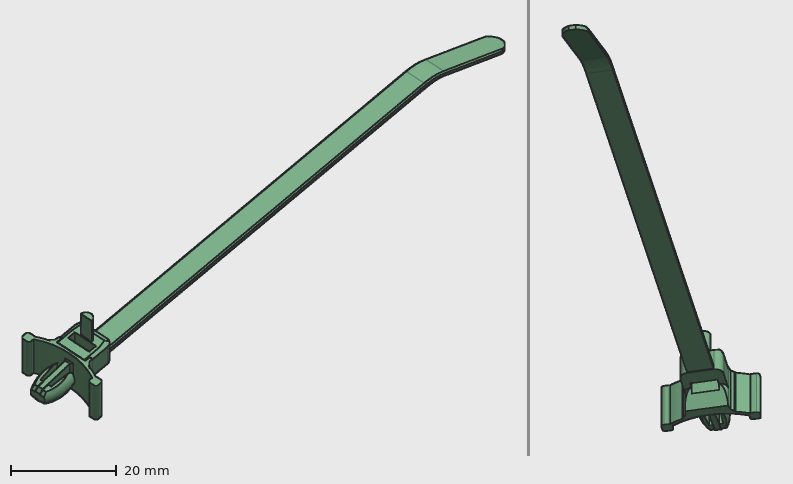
import cadquery as cq
import math


strap_half_width = 5.2 / 2
strap_bottom = -0.1
strap_thickness = 1.2
tail_thickness = 0.99
strap_edge_chamfer = 0.33
strap_end = 132.1
bend_start = 107.5
bend_length = 5.5
bend_angle = math.radians(24)
tip_half_width = 0.7
tip_taper_start = 128.0
tip_arc_mid = (2.1, 130.5)

wing_half_height = 4.8
wing_radius = 16.2
wing_thickness = 0.73
wing_brace_width = 0.99
wing_brace_knee_width = 0.2
wing_brace_knee = 9.8
wing_brace_start = 10.8
wing_apex = 9.0
wing_reach = 7.8
knob_outer = 9.5
knob_inner = 7.4
knob_low = 6.0
knob_high = 7.9
knob_radius = 0.6

head_half_width = 8.3 / 2
head_rear = 9.5
head_front = 16.8
head_corner_radius = head_half_width - strap_half_width
head_bottom = -0.33
head_crest_y = 15.6
head_crest_z = wing_half_height + 0.33
head_rear_z = wing_half_height + 0.1
head_edge_width = 1.12
head_edge_drop = 0.7
gusset_start = 12.4
gusset_end = 11.0
strap_web = 0.46
slot_half_width = 2.6
slot_rear = 12.0
slot_front = 13.6
slot_lead_in = 0.4

pin_half_width = 2.8 / 2
pin_rear = 13.9
pin_front = 15.2
pin_top = head_crest_z + 5.7

plug_tip_radius = 3.6 / 2
plug_barb_radius = 6.0 / 2
plug_barb_y = 5.2
plug_open_radius = 5.2 / 2
plug_open_end = 7.7
plug_half_height = 2.6
plug_tip_chamfer = 0.8
prong_inset = 0.2
stem_half_width = 0.6
stem_tip_half_height = 1.8
stem_root_half_width = 1.12
stem_root_length = 0.46
prong_gap_bottom = 2.4
prong_gap_bottom_half_width = 1.3
prong_gap_open_half_width = 1.8


def plan(z):
    """Sketch plane parallel to XY at height z."""
    return cq.Workplane("XY", origin=(0, 0, z))


def make_strap():
    """Flat strap with a downward bent tail and a narrowed end, chamfered along its upper edges."""
    top = strap_bottom + strap_thickness
    bend_radius = bend_length / math.sin(bend_angle)
    bend_center_z = top - bend_radius

    def on_bend(depth, angle):
        """Point in the bend at the given depth below the upper face."""
        radius = bend_radius - depth
        return (bend_start + radius * math.sin(angle), bend_center_z + radius * math.cos(angle))

    def on_end(bend_point):
        """Point where the straight tail from a bend point reaches the strap end."""
        return (strap_end, bend_point[1] - (strap_end - bend_point[0]) * math.tan(bend_angle))

    upper_bend_end = on_bend(0, bend_angle)
    lower_bend_end = on_bend(tail_thickness, bend_angle)
    lower_bend_mid = on_bend((strap_thickness + tail_thickness) / 2, bend_angle / 2)
    side = (
        cq.Workplane("YZ")
        .moveTo(slot_front, strap_bottom)
        .lineTo(slot_front, top)
        .lineTo(bend_start, top)
        .threePointArc(on_bend(0, bend_angle / 2), upper_bend_end)
        .lineTo(*on_end(upper_bend_end))
        .lineTo(*on_end(lower_bend_end))
        .lineTo(*lower_bend_end)
        .threePointArc(lower_bend_mid, (bend_start, strap_bottom))
        .close()
        .extrude(strap_half_width, both=True)
    )
    tail_bottom = on_end(lower_bend_end)[1]
    outline = (
        plan(tail_bottom)
        .moveTo(-strap_half_width, slot_front)
        .lineTo(strap_half_width, slot_front)
        .lineTo(strap_half_width, tip_taper_start)
        .threePointArc(tip_arc_mid, (tip_half_width, strap_end))
        .lineTo(-tip_half_width, strap_end)
        .threePointArc((-tip_arc_mid[0], tip_arc_mid[1]), (-strap_half_width, tip_taper_start))
        .close()
        .extrude(top - tail_bottom)
    )
    chamfered = side.faces(">Z").edges("|Y").chamfer(strap_edge_chamfer)
    return chamfered.intersect(outline)


def head_outline(front, bottom, top):
    """Block from the wings to the given front, as wide as the head, with rounded front corners."""
    return (
        plan(bottom)
        .moveTo(-head_half_width, wing_apex)
        .lineTo(head_half_width, wing_apex)
        .lineTo(head_half_width, front)
        .lineTo(-head_half_width, front)
        .close()
        .extrude(top - bottom)
        .edges("|Z and >Y")
        .fillet(head_corner_radius)
    )


def make_gusset():
    """Sloping support under the head, reaching down behind the wings."""
    side = (
        cq.Workplane("YZ")
        .moveTo(wing_apex, -wing_half_height)
        .lineTo(gusset_end, -wing_half_height)
        .lineTo(gusset_start, head_bottom)
        .lineTo(wing_apex, head_bottom)
        .close()
        .extrude(head_half_width, both=True)
    )
    return head_outline(gusset_start, -wing_half_height, head_bottom).intersect(side)


def make_head():
    """Locking head with rounded front corners, a raised crest and bevelled top sides."""
    outline = head_outline(head_front, head_bottom, head_crest_z)
    side = (
        cq.Workplane("YZ")
        .moveTo(head_rear, head_bottom)
        .lineTo(head_front, head_bottom)
        .lineTo(head_front, head_crest_z - head_edge_drop)
        .lineTo(head_crest_y, head_crest_z)
        .lineTo(slot_front, head_rear_z)
        .lineTo(head_rear, head_rear_z)
        .close()
        .extrude(head_half_width, both=True)
    )
    bevel_x = head_half_width - head_edge_width
    bevel_z = head_crest_z - head_edge_drop
    front = (
        cq.Workplane("XZ")
        .moveTo(-head_half_width, head_bottom)
        .lineTo(head_half_width, head_bottom)
        .lineTo(head_half_width, bevel_z)
        .lineTo(bevel_x, head_crest_z)
        .lineTo(-bevel_x, head_crest_z)
        .lineTo(-head_half_width, bevel_z)
        .close()
        .extrude(-head_front)
    )
    return outline.intersect(side).intersect(front)


def make_strap_web():
    """Small sloped web where the strap meets the front of the head."""
    top = strap_bottom + strap_thickness
    return (
        cq.Workplane("YZ")
        .moveTo(head_front, strap_bottom)
        .lineTo(head_front + strap_web, top)
        .lineTo(head_front, top + strap_web)
        .close()
        .extrude(strap_half_width - strap_edge_chamfer, both=True)
    )


def make_slot():
    """Vertical strap passage through the head, with a bevelled lead-in at the rear top edge."""
    return (
        cq.Workplane("YZ")
        .moveTo(slot_rear, -wing_half_height)
        .lineTo(slot_front, -wing_half_height)
        .lineTo(slot_front, head_crest_z)
        .lineTo(slot_rear - slot_lead_in, head_crest_z)
        .lineTo(slot_rear, wing_half_height - slot_lead_in)
        .close()
        .extrude(slot_half_width, both=True)
    )


def make_pin():
    """Upright release pin with a flat back and a rounded front."""
    return (
        plan(0)
        .moveTo(-pin_half_width, pin_rear)
        .lineTo(pin_half_width, pin_rear)
        .threePointArc((0, pin_front), (-pin_half_width, pin_rear))
        .close()
        .extrude(pin_top)
    )


def make_wings():
    """Arched spring plate with a rounded knob along each end and tapered braces to the head."""
    arc_center_y = wing_apex - wing_radius
    outer_radius = wing_radius + wing_thickness

    def on_arc(radius, x):
        return (x, arc_center_y + math.sqrt(radius**2 - x**2))

    height = 2 * wing_half_height
    wings = (
        plan(-wing_half_height)
        .moveTo(*on_arc(wing_radius, -wing_reach))
        .threePointArc((0, wing_apex), on_arc(wing_radius, wing_reach))
        .lineTo(*on_arc(outer_radius, wing_reach))
        .threePointArc((0, wing_apex + wing_thickness), on_arc(outer_radius, -wing_reach))
        .close()
        .extrude(height)
    )
    for side in (-1, 1):
        knob = (
            plan(-wing_half_height)
            .center(side * (knob_inner + knob_outer) / 2, (knob_low + knob_high) / 2)
            .rect(knob_outer - knob_inner, knob_high - knob_low)
            .extrude(height)
            .edges("|Z")
            .fillet(knob_radius)
        )
        brace = (
            plan(-wing_half_height)
            .moveTo(0, wing_apex)
            .lineTo(side * (head_half_width + wing_brace_width), wing_apex)
            .lineTo(side * (head_half_width + wing_brace_knee_width), wing_brace_knee)
            .lineTo(side * head_half_width, wing_brace_start)
            .lineTo(0, wing_brace_start)
            .close()
            .extrude(height)
        )
        wings = wings.union(knob).union(brace)
    return wings


def plug_slab(half_width, inset):
    """Slab along the plug that narrows toward a bevelled tip, inset from the full plug height."""
    root = plug_half_height - inset
    shoulder = stem_tip_half_height - inset
    tip = shoulder - plug_tip_chamfer
    return (
        cq.Workplane("YZ")
        .moveTo(0, -tip)
        .lineTo(plug_tip_chamfer, -shoulder)
        .lineTo(wing_apex, -root)
        .lineTo(wing_apex, root)
        .lineTo(plug_tip_chamfer, shoulder)
        .lineTo(0, tip)
        .close()
        .extrude(half_width, both=True)
    )


def make_plug():
    """Barbed plug: a central stem and two prongs that spring from its tip."""
    barb = (
        plan(0)
        .moveTo(0, 0)
        .lineTo(plug_tip_radius, 0)
        .threePointArc((plug_barb_radius, plug_barb_y), (plug_open_radius, plug_open_end))
        .lineTo(0, plug_open_end)
        .close()
        .revolve(360, (0, 0, 0), (0, 1, 0))
    )
    gap = (
        plan(-plug_half_height)
        .moveTo(-prong_gap_bottom_half_width, prong_gap_bottom)
        .lineTo(prong_gap_bottom_half_width, prong_gap_bottom)
        .lineTo(prong_gap_open_half_width, plug_open_end)
        .lineTo(-prong_gap_open_half_width, plug_open_end)
        .close()
        .extrude(2 * plug_half_height)
    )
    root_start = wing_apex - stem_root_length
    root = (
        plan(-plug_half_height)
        .moveTo(-stem_half_width, root_start)
        .lineTo(stem_half_width, root_start)
        .lineTo(stem_root_half_width, wing_apex)
        .lineTo(-stem_root_half_width, wing_apex)
        .close()
        .extrude(2 * plug_half_height)
    )
    prongs = barb.intersect(plug_slab(plug_barb_radius, prong_inset)).cut(gap)
    stem = plug_slab(stem_half_width, 0)
    return prongs.union(stem).union(root)


result = (
    make_head()
    .union(make_gusset())
    .union(make_strap())
    .union(make_strap_web())
    .union(make_wings())
    .union(make_pin())
    .cut(make_slot())
    .union(make_plug())
)